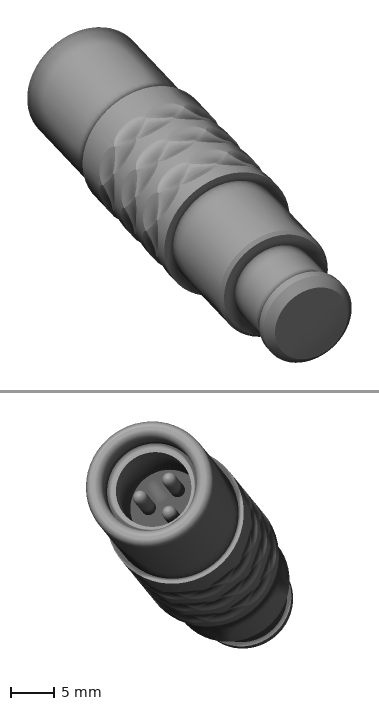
import cadquery as cq
import math

full_turn = 360.0


collar_start = 16.3
collar_end = 37.7
sleeve_end = 50.3
flange_start = 57.7
flange_taper_start = 58.8
total_length = 59.8

barrel_radius = 7.5
collar_radius = 8.1
sleeve_radius = 7.0
sleeve_chamfer = 0.4
neck_radius = 5.2
flange_radius = 5.7
flange_tip_radius = 4.7

rim_outer_round = 0.75
rim_inner_round = 0.85
rim_land_radius = 6.35
mouth_radius = rim_land_radius - rim_inner_round
mouth_depth = 3.2
socket_radius = 4.45
socket_depth = 12.0

pin_count = 3
pin_radius = 0.85
pin_circle_radius = 2.28
pin_length = 6.0

key_start = 5.3
key_length = 4.6
key_width = 2.0
key_top = 8.0
key_base = 7.0

band_count = 3
band_pitch = 5.7
first_band_x = 21.9
rows_per_band = 2
row_spacing = 1.2
scallops_per_row = 10
scallop_radius = 3.0
scallop_depth = 0.43
scallop_cutter_length = 8.0


def arc_middle(center_x, center_r, radius, sign):
    """Midpoint of a rim quarter arc facing -X, outward for sign +1 and inward for sign -1."""
    offset = radius * math.sqrt(0.5)
    return (center_x - offset, center_r + sign * offset)


def make_body():
    """Revolve the stepped outside and the stepped socket in one profile."""
    profile = (
        cq.Workplane("XY")
        .moveTo(socket_depth, 0)
        .lineTo(socket_depth, socket_radius)
        .lineTo(mouth_depth, socket_radius)
        .lineTo(mouth_depth, mouth_radius)
        .lineTo(rim_inner_round, mouth_radius)
        .threePointArc(
            arc_middle(rim_inner_round, rim_land_radius, rim_inner_round, -1),
            (0, rim_land_radius),
        )
        .lineTo(0, barrel_radius - rim_outer_round)
        .threePointArc(
            arc_middle(rim_outer_round, barrel_radius - rim_outer_round, rim_outer_round, 1),
            (rim_outer_round, barrel_radius),
        )
        .lineTo(collar_start, barrel_radius)
        .lineTo(collar_start, collar_radius)
        .lineTo(collar_end, collar_radius)
        .lineTo(collar_end, sleeve_radius)
        .lineTo(sleeve_end - sleeve_chamfer, sleeve_radius)
        .lineTo(sleeve_end, sleeve_radius - sleeve_chamfer)
        .lineTo(sleeve_end, neck_radius)
        .lineTo(flange_start, neck_radius)
        .lineTo(flange_start, flange_radius)
        .lineTo(flange_taper_start, flange_radius)
        .lineTo(total_length, flange_tip_radius)
        .lineTo(total_length, 0)
        .close()
    )
    return profile.revolve(full_turn, (0, 0, 0), (1, 0, 0))


def make_scallop(x, angle):
    """Cylinder lying across the collar, turned about X to the given angle."""
    axis_height = collar_radius - scallop_depth + scallop_radius
    cutter = cq.Solid.makeCylinder(
        scallop_radius,
        scallop_cutter_length,
        cq.Vector(x, -scallop_cutter_length / 2, axis_height),
        cq.Vector(0, 1, 0),
    )
    return cutter.rotate(cq.Vector(0, 0, 0), cq.Vector(1, 0, 0), angle)


def make_grip_cutters():
    """Staggered scallop rows in every band."""
    step = full_turn / scallops_per_row
    cutters = []
    for band in range(band_count):
        for row in range(rows_per_band):
            x = first_band_x + band * band_pitch + row * row_spacing
            for index in range(scallops_per_row):
                cutters.append(make_scallop(x, (index + row / rows_per_band) * step))
    return cutters


def make_key():
    """Raised key on the +Y side, sunk into the barrel wall."""
    return (
        cq.Workplane("XY")
        .box(key_length, key_top - key_base, key_width, centered=(False, False, True))
        .translate((key_start, key_base, 0))
    )


def make_pin(angle):
    """Round-nosed pin standing on the socket floor, placed by its angle about X from +Y."""
    y = pin_circle_radius * math.cos(math.radians(angle))
    z = pin_circle_radius * math.sin(math.radians(angle))
    base = cq.Vector(socket_depth, y, z)
    nose = base - cq.Vector(pin_length - pin_radius, 0, 0)
    shaft = cq.Workplane(
        cq.Solid.makeCylinder(pin_radius, pin_length - pin_radius, base, cq.Vector(-1, 0, 0))
    )
    return shaft.union(cq.Workplane("XY").sphere(pin_radius).translate(nose.toTuple()))


body = make_body()
for cutter in make_grip_cutters():
    body = body.cut(cq.Workplane(cutter))
body = body.union(make_key())
for pin_index in range(pin_count):
    body = body.union(make_pin(pin_index * full_turn / pin_count))

result = body